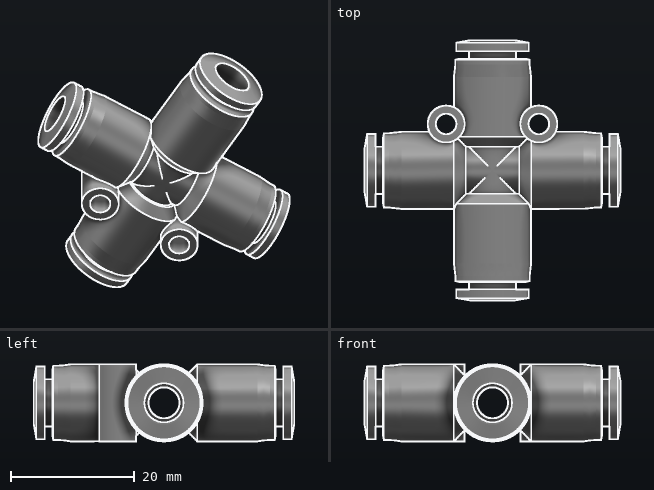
import cadquery as cq


overall_x = 41.4
overall_y = 42.1
body_diameter = 12.5
reach_x = overall_x / 2
reach_y = overall_y / 2

collar_radius = 5.9
collar_thickness = 1.8
collar_face_slope_depth = 0.4
neck_radius = 3.85
neck_length = 1.18

body_radius = body_diameter / 2
lip_radius = 6.0
lip_length = 0.95
lip_face_slope_depth = 0.15
lip_face_inner_radius = 5.3
taper_length = 2.0

core_radius = 4.2
shoulder_start_x = body_radius
shoulder_end_x = 4.3
shoulder_end_radius_x = core_radius
shoulder_start_y = 5.4
shoulder_end_y = 3.8
shoulder_end_radius_y = 4.65

socket_radius = 3.15
socket_depth = 12.65
rim_radius = 3.55
passage_radius = 2.5

eye_offset = 7.5
eye_radius = 3.0
eye_hole_radius = 1.65
eye_height = body_diameter


def revolve_along_x(points):
    """Spin a closed (axial, radial) outline about the X axis."""
    return cq.Workplane("XY").polyline(points).close().revolve(360, (0, 0, 0), (1, 0, 0))


def make_arm(reach, shoulder_start, shoulder_end, shoulder_end_radius):
    """Solid arm along +X, from the centre of the cross to its collar face."""
    collar_back = reach - collar_thickness
    body_end = collar_back - neck_length
    lip_start = body_end - lip_length
    taper_start = lip_start - taper_length
    core = [(0, 0), (0, core_radius), (shoulder_end, core_radius)]
    if shoulder_end_radius > core_radius:
        core.append((shoulder_end, shoulder_end_radius))
    return revolve_along_x(core + [
        (shoulder_start, body_radius),
        (taper_start, body_radius),
        (lip_start, lip_radius),
        (body_end - lip_face_slope_depth, lip_radius),
        (body_end, lip_face_inner_radius),
        (body_end, neck_radius),
        (collar_back, neck_radius),
        (collar_back, collar_radius),
        (reach - collar_face_slope_depth, collar_radius),
        (reach, rim_radius),
        (reach, 0),
    ])


def make_bore(reach):
    """Tube socket, and the narrower passage to the centre."""
    socket_floor = reach - socket_depth
    return revolve_along_x([
        (0, 0),
        (0, passage_radius),
        (socket_floor, passage_radius),
        (socket_floor, socket_radius),
        (reach, socket_radius),
        (reach, 0),
    ])


def make_upright(radius):
    """Pair of full-height cylinders at the two mounting eye positions."""
    return (
        cq.Workplane("XY", origin=(0, 0, -eye_height / 2))
        .pushPoints([(-eye_offset, eye_offset), (eye_offset, eye_offset)])
        .circle(radius)
        .extrude(eye_height)
    )


def both_ways(solid, angle):
    """Turn a +X solid to the given angle about Z and join it with its opposite."""
    turned = solid.rotate((0, 0, 0), (0, 0, 1), angle)
    return turned.union(turned.rotate((0, 0, 0), (0, 0, 1), 180))


arm_x = make_arm(reach_x, shoulder_start_x, shoulder_end_x, shoulder_end_radius_x)
arm_y = make_arm(reach_y, shoulder_start_y, shoulder_end_y, shoulder_end_radius_y)

result = (
    both_ways(arm_x, 0)
    .union(both_ways(arm_y, 90))
    .union(make_upright(eye_radius))
    .cut(both_ways(make_bore(reach_x), 0))
    .cut(both_ways(make_bore(reach_y), 90))
    .cut(make_upright(eye_hole_radius))
)